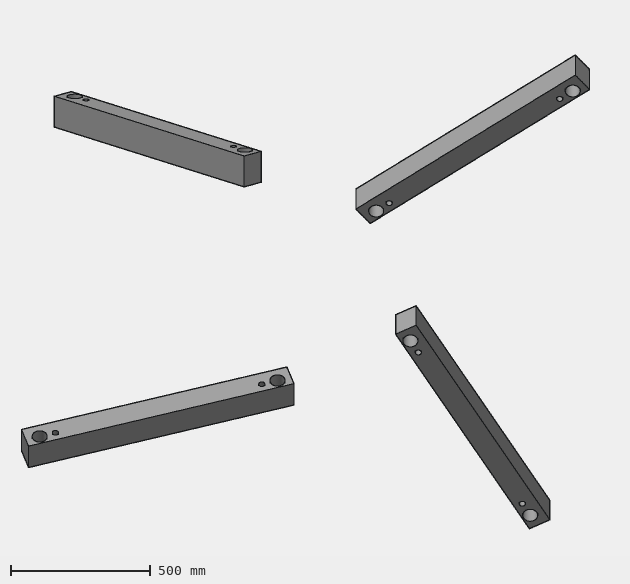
import cadquery as cq

LENGTH = 996.0
WIDTH = 84.0
HEIGHT = 116.0

HOLE_LINE_SETBACK = 32.0
HOLE_LINE_Y = WIDTH / 2 - HOLE_LINE_SETBACK

LARGE_DIAMETER = 54.0
LARGE_END_DISTANCE = 52.0
SMALL_DIAMETER = 22.0
SMALL_END_DISTANCE = 111.0


def make_bar():
    """Plain rectangular bar centred on the origin."""
    return cq.Workplane("XY").box(LENGTH, WIDTH, HEIGHT)


def cut_hole_pair(body, diameter, end_distance):
    """Drill two vertical through holes, one the given distance from each end."""
    hole_x = LENGTH / 2 - end_distance
    return (
        body.faces(">Z")
        .workplane(origin=(0, 0, 0))
        .pushPoints([(-hole_x, HOLE_LINE_Y), (hole_x, HOLE_LINE_Y)])
        .hole(diameter)
    )


bar = make_bar()
bar = cut_hole_pair(bar, LARGE_DIAMETER, LARGE_END_DISTANCE)
result = cut_hole_pair(bar, SMALL_DIAMETER, SMALL_END_DISTANCE)